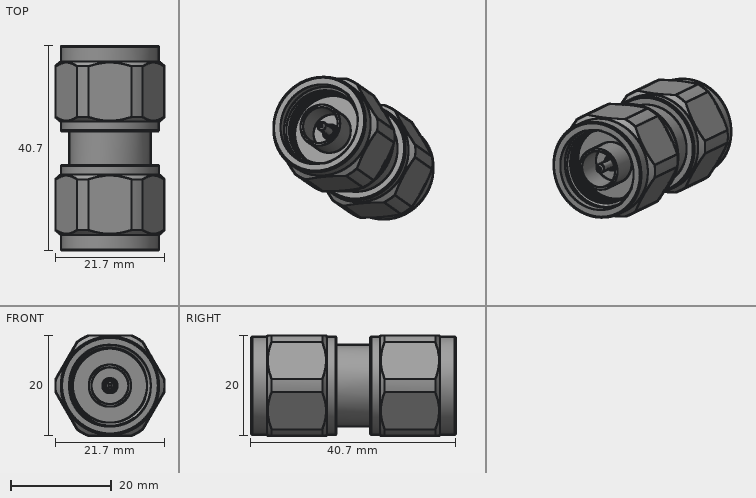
import cadquery as cq
import math

length = 40.7
half_length = length / 2
body_radius = 8.15

nut_length = 17.0
collar_radius = 9.75
collar_chamfer = 0.25
hex_across_flats = 20.0
hex_corner_radius = 10.85
hex_start = 3.15
hex_end = 15.1
hex_cone_length = 0.95

entry_radius = 8.15
entry_depth = 2.05
bore_radius = 7.35
bore_depth = 7.0
lead_in_length = 0.55

thread_pitch = 1.05
thread_crest_width = 0.3
thread_start_depth = 0.9
thread_angle = 60.0
thread_cut_overlap = 0.1
liner_radius = 8.75

tube_radius = 4.2
tube_bore_radius = 3.65
tube_recess = 0.77

pin_radius = 0.85
pin_tip_radius = 0.33
pin_tip_length = 0.4
pin_recess = 1.15
pin_base_radius = 1.5
pin_base_length = 0.8
pin_base_chamfer = 0.3


def turned(points):
    """Revolve an outline of (radius, depth) points about the axis, at the -Y end."""
    outline = [(radius, depth - half_length) for radius, depth in points]
    return cq.Workplane("XY").polyline(outline).close().revolve(360, (0, 0), (0, 1))


def cylinder(radius, start, end):
    return turned([(0, start), (radius, start), (radius, end), (0, end)])


def nut_outside():
    collar_edge = collar_radius - collar_chamfer
    collars = turned([
        (0, 0),
        (collar_edge, 0),
        (collar_radius, collar_chamfer),
        (collar_radius, nut_length - collar_chamfer),
        (collar_edge, nut_length),
        (0, nut_length),
    ])
    hex_envelope = turned([
        (0, hex_start),
        (collar_radius, hex_start),
        (hex_corner_radius, hex_start + hex_cone_length),
        (hex_corner_radius, hex_end - hex_cone_length),
        (collar_radius, hex_end),
        (0, hex_end),
    ])
    across_corners = hex_across_flats / math.cos(math.pi / 6)
    hex_bar = (
        cq.Workplane("XZ", origin=(0, -half_length, 0))
        .polygon(6, across_corners)
        .extrude(-nut_length)
    )
    return collars.union(hex_bar.intersect(hex_envelope))


def lead_in():
    """Wide mouth of the bore, ending in a full cone that narrows onto the thread."""
    cone_slope = (entry_radius - bore_radius) / lead_in_length
    return turned([
        (0, 0),
        (entry_radius, 0),
        (entry_radius, entry_depth),
        (0, entry_depth + entry_radius / cone_slope),
    ])


def thread_groove():
    """V groove along the bore, wound along Z and then laid along Y."""
    half_slope = math.tan(math.radians(thread_angle / 2))
    half_mouth = (thread_pitch - thread_crest_width) / 2
    root_radius = bore_radius + half_mouth / half_slope
    inner_radius = bore_radius - thread_cut_overlap
    inner_half_width = (root_radius - inner_radius) * half_slope
    v_outline = [
        (inner_radius, -inner_half_width),
        (root_radius, 0),
        (inner_radius, inner_half_width),
    ]
    wound_length = bore_depth + thread_pitch - thread_start_depth
    helix = cq.Wire.makeHelix(thread_pitch, wound_length, bore_radius)
    return (
        cq.Workplane("XZ")
        .polyline(v_outline)
        .close()
        .sweep(cq.Workplane(helix), isFrenet=True)
        .rotate((0, 0, 0), (1, 0, 0), -90)
        .translate((0, thread_start_depth - half_length, 0))
    )


def threaded_liner():
    """Threaded lining of the nut; the groove runs out inside an overlong sleeve."""
    overrun = 3 * thread_pitch
    sleeve_start = -overrun
    sleeve_end = bore_depth + overrun
    sleeve = cylinder(liner_radius, sleeve_start, sleeve_end)
    sleeve = sleeve.cut(cylinder(bore_radius, sleeve_start, sleeve_end))
    threaded = sleeve.cut(thread_groove())
    return threaded.intersect(cylinder(liner_radius, 0, bore_depth)).cut(lead_in())


def contact_tube():
    tube = cylinder(tube_radius, tube_recess, bore_depth)
    return tube.cut(cylinder(tube_bore_radius, tube_recess, bore_depth))


def centre_pin():
    shoulder = bore_depth - pin_base_length
    return turned([
        (0, pin_recess),
        (pin_tip_radius, pin_recess),
        (pin_radius, pin_recess + pin_tip_length),
        (pin_radius, shoulder),
        (pin_base_radius - pin_base_chamfer, shoulder),
        (pin_base_radius, shoulder + pin_base_chamfer),
        (pin_base_radius, bore_depth),
        (0, bore_depth),
    ])


def connector():
    shell = nut_outside().cut(cylinder(liner_radius, 0, bore_depth))
    return shell.union(threaded_liner()).union(contact_tube()).union(centre_pin())


body = cylinder(body_radius, nut_length, length - nut_length)
front_connector = connector()
back_connector = front_connector.rotate((0, 0, 0), (0, 0, 1), 180)
result = body.union(front_connector).union(back_connector)